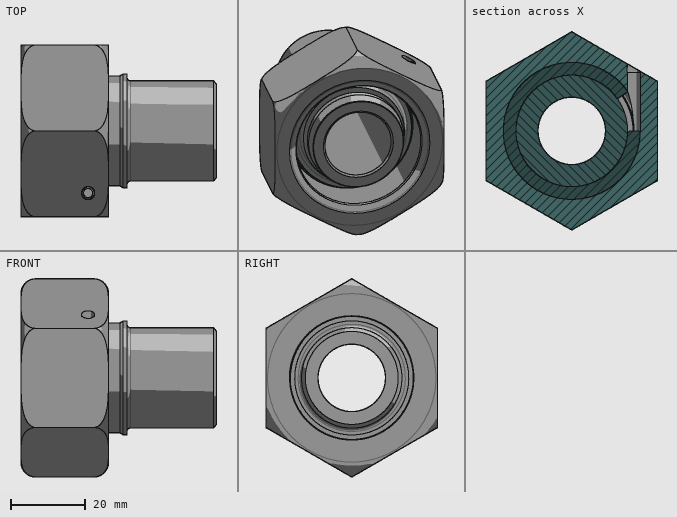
import cadquery as cq
import math


NUT_LENGTH = 23.5
NUT_ACROSS_FLATS = 46.0
NUT_CORNER_RADIUS = NUT_ACROSS_FLATS / math.sqrt(3)
NUT_ROUNDING = 4.0
NUT_FACE_RADIUS = NUT_CORNER_RADIUS - NUT_ROUNDING
THREAD_RADIUS = 33.84 / 2
THREAD_END = 13.0
NUT_BORE_RADIUS = 33.3 / 2
THREAD_RUNOUT = THREAD_RADIUS - NUT_BORE_RADIUS

MOUTH_RADIUS = 19.1
MOUTH_LIP_DEPTH = 0.15
MOUTH_CONE_RADIUS = 18.7
MOUTH_CONE_DEPTH = 1.1
MOUTH_CONE_END_RADIUS = 17.2
MOUTH_DEPTH = 1.6

WIRE_X = 18.0
WIRE_RADIUS = 3.25 / 2
WIRE_PATH_RADIUS = NUT_BORE_RADIUS
WIRE_GAP_ANGLE = 35.0
WIRE_END_CHAMFER = 0.4

FEED_MOUTH_RADIUS = 3.54 / 2
FEED_MOUTH_Z = 15.7

PART_LENGTH = 52.41
BORE_RADIUS = 18.0 / 2
BORE_CHAMFER = 0.5
NOSE_X = 1.9
NOSE_RADIUS = 12.35
NOSE_CHAMFER = 0.15
CONE_HALF_ANGLE = math.radians(12)
CONE_SLOPE = math.tan(CONE_HALF_ANGLE)

GROOVE_FRONT_RADIUS = 13.0
GROOVE_REAR_RADIUS = 13.75
GROOVE_FLOOR_RADIUS = 22.3 / 2
GROOVE_START = NOSE_X + (GROOVE_FRONT_RADIUS - NOSE_RADIUS) / CONE_SLOPE
GROOVE_END = NOSE_X + (GROOVE_REAR_RADIUS - NOSE_RADIUS) / CONE_SLOPE

SHOULDER_X = 11.6
SHOULDER_END = 20.5
SHOULDER_RADIUS = 32.95 / 2
SHOULDER_CHAMFER = 0.25
SHOULDER_FILLET = 0.85
CONE_END_RADIUS = NOSE_RADIUS + (SHOULDER_X - NOSE_X) * CONE_SLOPE
FILLET_REACH = SHOULDER_FILLET * math.tan((math.pi / 2 - CONE_HALF_ANGLE) / 2)
FILLET_START_X = SHOULDER_X - FILLET_REACH * math.cos(CONE_HALF_ANGLE)
FILLET_START_RADIUS = CONE_END_RADIUS - FILLET_REACH * math.sin(CONE_HALF_ANGLE)
FILLET_END_RADIUS = CONE_END_RADIUS + FILLET_REACH
WIRE_HALF_CHORD = math.sqrt(WIRE_RADIUS**2 - (WIRE_PATH_RADIUS - SHOULDER_RADIUS) ** 2)

NECK_RADIUS = 29.45 / 2
LIP_RADIUS = 30.55 / 2
LIP_RAMP_START = 26.5
LIP_START = 27.4
LIP_END = 28.45
LIP_FILLET = 0.9
PIPE_RADIUS = 26.9 / 2
PIPE_BEVEL_LENGTH = 0.8
PIPE_BEVEL_DEPTH = 1.0

SEAL_CORD_RADIUS = (GROOVE_FRONT_RADIUS - GROOVE_FLOOR_RADIUS) / 2
SEAL_RING_RADIUS = GROOVE_FLOOR_RADIUS + SEAL_CORD_RADIUS
SEAL_X = (GROOVE_START + GROOVE_END) / 2

X_AXIS = cq.Vector(1, 0, 0)


def profile(x, radius):
    """Start an outline of (x, radius) points in the XZ half plane."""
    return cq.Workplane("XZ").moveTo(x, radius)


def turn(outline):
    """Close an outline and revolve it about the X axis."""
    return outline.close().revolve(360, (0, 0, 0), (1, 0, 0))


def nut_blank():
    """Hexagon with corners on +Z and -Z, turned down to rounded ends."""
    hexagon = cq.Workplane("YZ").polygon(6, 2 * NUT_CORNER_RADIUS).extrude(NUT_LENGTH)
    hexagon = hexagon.rotate((0, 0, 0), (1, 0, 0), 90)
    rounded_ends = turn(
        profile(0, 0)
        .lineTo(0, NUT_FACE_RADIUS)
        .radiusArc((NUT_ROUNDING, NUT_CORNER_RADIUS), NUT_ROUNDING)
        .lineTo(NUT_LENGTH - NUT_ROUNDING, NUT_CORNER_RADIUS)
        .radiusArc((NUT_LENGTH, NUT_FACE_RADIUS), NUT_ROUNDING)
        .lineTo(NUT_LENGTH, 0)
    )
    return hexagon.intersect(rounded_ends)


def nut_opening():
    """Mouth, thread core, through bore and the outer half of the wire groove."""
    return turn(
        profile(0, 0)
        .lineTo(0, MOUTH_RADIUS)
        .lineTo(MOUTH_LIP_DEPTH, MOUTH_CONE_RADIUS)
        .lineTo(MOUTH_CONE_DEPTH, MOUTH_CONE_END_RADIUS)
        .lineTo(MOUTH_DEPTH, THREAD_RADIUS)
        .lineTo(THREAD_END, THREAD_RADIUS)
        .lineTo(THREAD_END + THREAD_RUNOUT, NUT_BORE_RADIUS)
        .lineTo(WIRE_X - WIRE_RADIUS, NUT_BORE_RADIUS)
        .radiusArc((WIRE_X + WIRE_RADIUS, NUT_BORE_RADIUS), WIRE_RADIUS)
        .lineTo(NUT_LENGTH, NUT_BORE_RADIUS)
        .lineTo(NUT_LENGTH, 0)
    )


def feed_hole(radius, start_z):
    """Vertical hole in line with the wire, open at the top of the nut."""
    start = (WIRE_X, -WIRE_PATH_RADIUS, start_z)
    return cq.Workplane("XY", origin=start).circle(radius).extrude(NUT_CORNER_RADIUS)


def make_nut():
    body = nut_blank().cut(nut_opening())
    body = body.cut(feed_hole(WIRE_RADIUS, 0))
    return body.cut(feed_hole(FEED_MOUTH_RADIUS, FEED_MOUTH_Z))


def make_nipple():
    return turn(
        profile(NOSE_X, BORE_RADIUS + BORE_CHAMFER)
        .lineTo(NOSE_X, NOSE_RADIUS - NOSE_CHAMFER)
        .lineTo(NOSE_X + NOSE_CHAMFER, NOSE_RADIUS)
        .lineTo(GROOVE_START, GROOVE_FRONT_RADIUS)
        .lineTo(GROOVE_START, GROOVE_FLOOR_RADIUS)
        .lineTo(GROOVE_END, GROOVE_FLOOR_RADIUS)
        .lineTo(GROOVE_END, GROOVE_REAR_RADIUS)
        .lineTo(FILLET_START_X, FILLET_START_RADIUS)
        .radiusArc((SHOULDER_X, FILLET_END_RADIUS), -SHOULDER_FILLET)
        .lineTo(SHOULDER_X, SHOULDER_RADIUS - SHOULDER_CHAMFER)
        .lineTo(SHOULDER_X + SHOULDER_CHAMFER, SHOULDER_RADIUS)
        .lineTo(WIRE_X - WIRE_HALF_CHORD, SHOULDER_RADIUS)
        .radiusArc((WIRE_X + WIRE_HALF_CHORD, SHOULDER_RADIUS), -WIRE_RADIUS)
        .lineTo(SHOULDER_END, SHOULDER_RADIUS)
        .lineTo(SHOULDER_END, NECK_RADIUS)
        .lineTo(LIP_RAMP_START, NECK_RADIUS)
        .lineTo(LIP_START, LIP_RADIUS)
        .lineTo(LIP_END, LIP_RADIUS)
        .lineTo(LIP_END, PIPE_RADIUS + LIP_FILLET)
        .radiusArc((LIP_END + LIP_FILLET, PIPE_RADIUS), -LIP_FILLET)
        .lineTo(PART_LENGTH - PIPE_BEVEL_LENGTH, PIPE_RADIUS)
        .lineTo(PART_LENGTH, PIPE_RADIUS - PIPE_BEVEL_DEPTH)
        .lineTo(PART_LENGTH, BORE_RADIUS)
        .lineTo(NOSE_X + BORE_CHAMFER, BORE_RADIUS)
    )


def make_wire():
    """Open ring that starts under the feed hole and bends down around the nipple."""
    start = (WIRE_X, -WIRE_PATH_RADIUS, 0)
    ring = (
        cq.Workplane("XY", origin=start)
        .circle(WIRE_RADIUS)
        .revolve(360 - WIRE_GAP_ANGLE, (0, WIRE_PATH_RADIUS, 0), (1, WIRE_PATH_RADIUS, 0))
    )
    start_face = cq.selectors.NearestToPointSelector(start)
    return ring.faces("%PLANE").faces(start_face).chamfer(WIRE_END_CHAMFER)


def make_seal():
    centre = cq.Vector(SEAL_X, 0, 0)
    ring = cq.Solid.makeTorus(SEAL_RING_RADIUS, SEAL_CORD_RADIUS, centre, X_AXIS)
    return cq.Workplane(ring)


nut = make_nut()
nipple = make_nipple()
wire = make_wire()
seal = make_seal()

result = cq.Compound.makeCompound([nut.val(), nipple.val(), wire.val(), seal.val()])